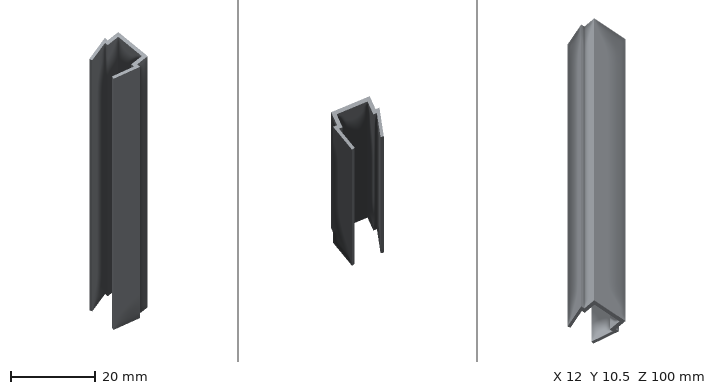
import cadquery as cq
import math

LENGTH = 100.0
DEPTH = 10.5
WALL = 1.0
CHANNEL_WIDTH = 10.0

SHOULDER_WIDTH = 12.0
SHOULDER_TOP = 3.5
CHANNEL_DEPTH = 4.5

LEG_THICKNESS = 0.8
LEG_ANGLE = math.radians(15)

back_y = DEPTH / 2
front_y = -DEPTH / 2
shoulder_top_y = back_y - SHOULDER_TOP
shoulder_bottom_y = back_y - CHANNEL_DEPTH
outer_x = CHANNEL_WIDTH / 2
inner_x = outer_x - WALL
shoulder_x = SHOULDER_WIDTH / 2

leg_slope = math.tan(LEG_ANGLE)
tip_outer_x = shoulder_x - (shoulder_top_y - front_y) * leg_slope
tip_inner_x = tip_outer_x - LEG_THICKNESS * math.cos(LEG_ANGLE)
tip_inner_y = front_y + LEG_THICKNESS * math.sin(LEG_ANGLE)
leg_root_inner_x = tip_inner_x + (shoulder_bottom_y - tip_inner_y) * leg_slope

right_half = [
    (0, back_y),
    (outer_x, back_y),
    (outer_x, shoulder_top_y),
    (shoulder_x, shoulder_top_y),
    (tip_outer_x, front_y),
    (tip_inner_x, tip_inner_y),
    (leg_root_inner_x, shoulder_bottom_y),
    (inner_x, shoulder_bottom_y),
    (inner_x, back_y - WALL),
    (0, back_y - WALL),
]

result = (
    cq.Workplane("XY")
    .polyline(right_half)
    .mirrorY()
    .extrude(LENGTH)
    .translate((0, 0, -LENGTH / 2))
)